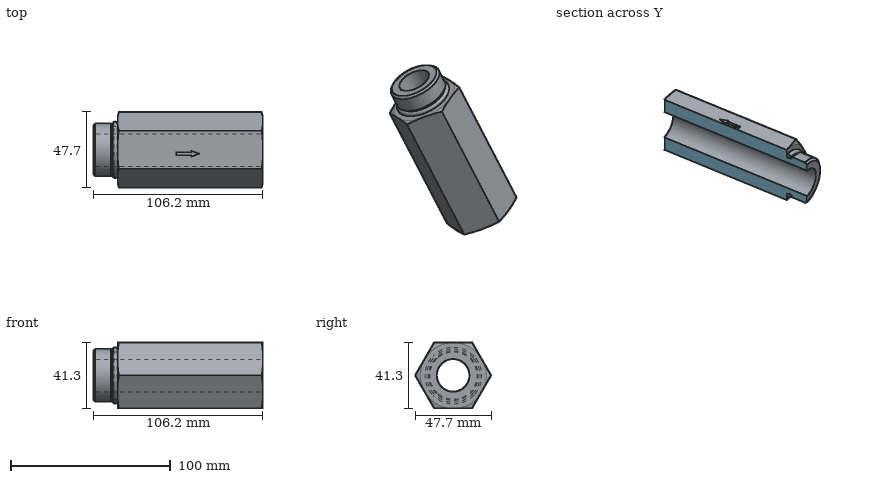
import cadquery as cq
import math

total_length = 106.17
hex_length = 91.0
hex_start = total_length - hex_length
thread_shoulder_end = 11.0

across_flats = 41.27
across_corners = across_flats / math.cos(math.radians(30))
hex_chamfer_angle = 15.0

thread_diameter = 33.33
tip_diameter = 30.4
shoulder_diameter = 31.04
relief_diameter = 30.4
tip_chamfer_length = 1.35
shoulder_chamfer_length = 0.85
bore_diameter = 20.24

ring_outer_diameter = 35.5
ring_section_diameter = 2.95
ring_center_radius = (ring_outer_diameter - ring_section_diameter) / 2
ring_center_x = hex_start - ring_section_diameter / 2

arrow_shaft_width = 1.74
arrow_head_width = 2 * arrow_shaft_width
arrow_tail_x = 51.9
arrow_head_x = 61.4
arrow_tip_x = 66.4
arrow_center_y = -2.43
arrow_depth = 0.1


def revolve_about_x(profile):
    """Turn a closed XY profile a full revolution about the X axis."""
    return profile.close().revolve(360, (0, 0, 0), (1, 0, 0))


def make_hexagon():
    """Hexagonal bar with flats at top and bottom and both ends turned to a cone."""
    bar = (
        cq.Workplane("YZ", origin=(hex_start, 0, 0))
        .polygon(6, across_corners)
        .extrude(hex_length)
    )
    flat_radius = across_flats / 2
    corner_radius = across_corners / 2
    chamfer_length = (corner_radius - flat_radius) * math.tan(math.radians(hex_chamfer_angle))
    turned_envelope = revolve_about_x(
        cq.Workplane("XY")
        .moveTo(hex_start, 0)
        .lineTo(hex_start, flat_radius)
        .lineTo(hex_start + chamfer_length, corner_radius)
        .lineTo(total_length - chamfer_length, corner_radius)
        .lineTo(total_length, flat_radius)
        .lineTo(total_length, 0)
    )
    return bar.intersect(turned_envelope)


def make_stud():
    """Threaded stud with chamfered ends and a thread relief next to the hexagon."""
    shoulder_x = thread_shoulder_end + shoulder_chamfer_length
    return revolve_about_x(
        cq.Workplane("XY")
        .moveTo(0, 0)
        .lineTo(0, tip_diameter / 2)
        .lineTo(tip_chamfer_length, thread_diameter / 2)
        .lineTo(thread_shoulder_end, thread_diameter / 2)
        .lineTo(shoulder_x, shoulder_diameter / 2)
        .lineTo(shoulder_x, relief_diameter / 2)
        .lineTo(hex_start, relief_diameter / 2)
        .lineTo(hex_start, 0)
    )


def make_arrow():
    """Solid arrow pointing along +X, sunk into the top flat."""
    length_to_head = arrow_head_x - arrow_tail_x
    length_to_tip = arrow_tip_x - arrow_tail_x
    return (
        cq.Workplane("XY", origin=(arrow_tail_x, arrow_center_y, across_flats / 2 - arrow_depth))
        .moveTo(0, arrow_shaft_width / 2)
        .lineTo(length_to_head, arrow_shaft_width / 2)
        .lineTo(length_to_head, arrow_head_width / 2)
        .lineTo(length_to_tip, 0)
        .lineTo(length_to_head, -arrow_head_width / 2)
        .lineTo(length_to_head, -arrow_shaft_width / 2)
        .lineTo(0, -arrow_shaft_width / 2)
        .close()
        .extrude(2 * arrow_depth)
    )


def make_valve_body(ring):
    """Hexagon and stud in one piece, bored through along X, with a seat matching the ring."""
    bore = cq.Workplane("YZ").circle(bore_diameter / 2).extrude(total_length)
    return make_hexagon().union(make_stud()).cut(bore).cut(make_arrow()).cut(ring)


def make_sealing_ring():
    """O-ring around the thread relief, between the stud and the hexagon."""
    return (
        cq.Workplane("XY")
        .center(ring_center_x, ring_center_radius)
        .circle(ring_section_diameter / 2)
        .revolve(360, (0, -ring_center_radius, 0), (1, -ring_center_radius, 0))
    )


sealing_ring = make_sealing_ring()
valve_body = make_valve_body(sealing_ring)

result = cq.Compound.makeCompound([valve_body.val(), sealing_ring.val()])